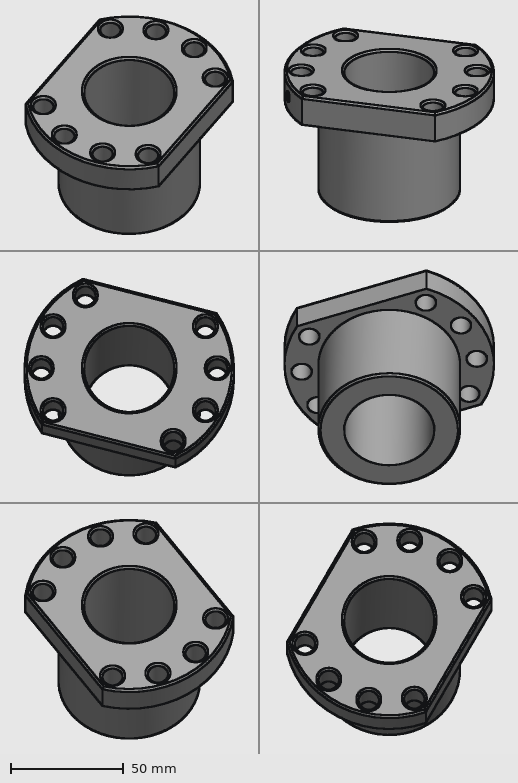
import cadquery as cq
import math

TOTAL_HEIGHT = 60.0
FLANGE_DIAMETER = 93.0
FLANGE_WIDTH = 70.0
FLANGE_THICKNESS = 13.95
BODY_DIAMETER = 63.0
BORE_DIAMETER = 40.0
EDGE_CHAMFER = 1.0

BOLT_CIRCLE_DIAMETER = 78.0
BOLT_HOLE_DIAMETER = 9.0
BOLT_HOLE_CHAMFER = 1.0
COUNTERSINK_ANGLE = 90
BOLT_ANGLES_FROM_Y = (15, 45)

OIL_HOLE_DIAMETER = 4.0
OIL_HOLE_MOUTH_DIAMETER = 4.9
OIL_HOLE_DEPTH = 10.0
OIL_HOLE_ANGLE = 120

flange_bottom = TOTAL_HEIGHT - FLANGE_THICKNESS
flange_radius = FLANGE_DIAMETER / 2


def make_flange():
    """Round plate with two parallel flats and a chamfered top edge."""
    half_width = FLANGE_WIDTH / 2
    flat_end = math.sqrt(flange_radius**2 - half_width**2)
    return (
        cq.Workplane("XY", origin=(0, 0, flange_bottom))
        .moveTo(half_width, -flat_end)
        .lineTo(half_width, flat_end)
        .threePointArc((0, flange_radius), (-half_width, flat_end))
        .lineTo(-half_width, -flat_end)
        .threePointArc((0, -flange_radius), (half_width, -flat_end))
        .close()
        .extrude(FLANGE_THICKNESS)
        .faces(">Z")
        .chamfer(EDGE_CHAMFER)
    )


def make_body():
    """Cylinder under the flange with a chamfered lower edge."""
    return (
        cq.Workplane("XY")
        .circle(BODY_DIAMETER / 2)
        .extrude(flange_bottom)
        .faces("<Z")
        .chamfer(EDGE_CHAMFER)
    )


def bolt_positions():
    """Bolt hole centres, each angle mirrored about both the X and Y axes."""
    radius = BOLT_CIRCLE_DIAMETER / 2
    points = []
    for angle in BOLT_ANGLES_FROM_Y:
        x = radius * math.sin(math.radians(angle))
        y = radius * math.cos(math.radians(angle))
        points += [(x, y), (-x, y), (-x, -y), (x, -y)]
    return points


def make_oil_hole():
    """Blind radial hole in the flange rim, countersunk at the rim."""
    angle = math.radians(OIL_HOLE_ANGLE)
    outward = cq.Vector(math.cos(angle), math.sin(angle), 0)
    mid_flange = cq.Vector(0, 0, flange_bottom + FLANGE_THICKNESS / 2)
    mouth_radius = OIL_HOLE_MOUTH_DIAMETER / 2
    hole_radius = OIL_HOLE_DIAMETER / 2
    mouth_depth = mouth_radius - hole_radius
    rim_point = mid_flange + outward * flange_radius
    drill = cq.Solid.makeCylinder(hole_radius, OIL_HOLE_DEPTH, rim_point, -outward)
    mouth = cq.Solid.makeCone(mouth_radius, hole_radius, mouth_depth, rim_point, -outward)
    return drill.fuse(mouth)


result = make_flange().union(make_body())

result = (
    result.faces(">Z")
    .workplane(origin=(0, 0, TOTAL_HEIGHT))
    .cskHole(BORE_DIAMETER, BORE_DIAMETER + 2 * EDGE_CHAMFER, COUNTERSINK_ANGLE)
    .pushPoints(bolt_positions())
    .cskHole(BOLT_HOLE_DIAMETER, BOLT_HOLE_DIAMETER + 2 * BOLT_HOLE_CHAMFER, COUNTERSINK_ANGLE)
)

result = result.cut(cq.Workplane(make_oil_hole()))